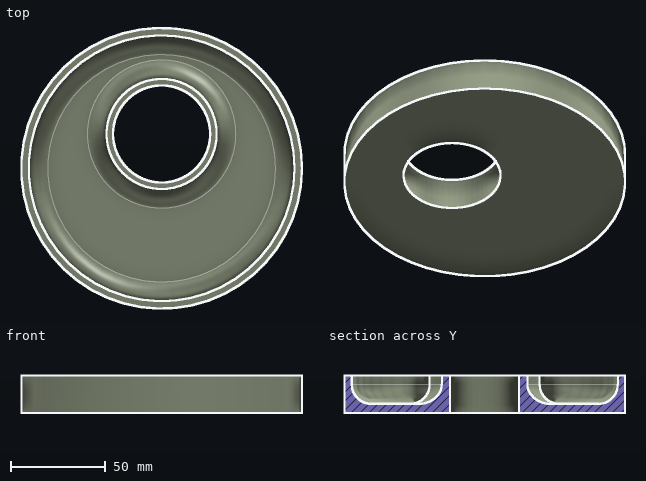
import cadquery as cq

outer_diameter = 148
inner_diameter = 140.0
height = 20.0
floor_thickness = 5.0
fillet_radius = 10.0

collar_diameter = 58.0
bore_diameter = 51.0
collar_offset_y = 18.0


def cylinder(diameter, base_z, top_z, center_y=0):
    """Upright cylinder between two heights, centred on X = 0."""
    base = cq.Workplane("XY", origin=(0, center_y, base_z))
    return base.circle(diameter / 2).extrude(top_z - base_z)


cavity = cylinder(inner_diameter, floor_thickness, height)
collar = cylinder(collar_diameter, floor_thickness, height, collar_offset_y)
cavity = cavity.cut(collar).faces("<Z").edges().fillet(fillet_radius)

bore = cylinder(bore_diameter, 0, height, collar_offset_y)

result = cylinder(outer_diameter, 0, height).cut(cavity).cut(bore)